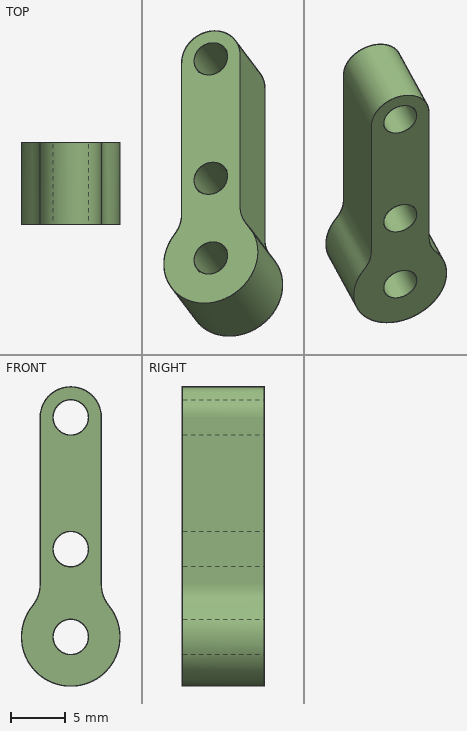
import cadquery as cq
import math

thickness = 7.5
hub_radius = 4.5
arm_half_width = 2.8
blend_radius = 3.0
hole_diameter = 3.2
middle_hole_z = 8.0
top_hole_z = 20.0
hole_heights = (0.0, middle_hole_z, top_hole_z)

blend_center_x = arm_half_width + blend_radius
center_distance = hub_radius + blend_radius
blend_center_z = math.sqrt(center_distance**2 - blend_center_x**2)
hub_tangent_x = blend_center_x * hub_radius / center_distance
hub_tangent_z = blend_center_z * hub_radius / center_distance

blend_mid_angle = math.pi + math.atan2(blend_center_z, blend_center_x) / 2
blend_mid_x = blend_center_x + blend_radius * math.cos(blend_mid_angle)
blend_mid_z = blend_center_z + blend_radius * math.sin(blend_mid_angle)


def make_body():
    """Lever outline in the XZ plane, extruded evenly to both sides of it."""
    return (
        cq.Workplane("XZ")
        .moveTo(arm_half_width, blend_center_z)
        .lineTo(arm_half_width, top_hole_z)
        .threePointArc((0, top_hole_z + arm_half_width), (-arm_half_width, top_hole_z))
        .lineTo(-arm_half_width, blend_center_z)
        .threePointArc((-blend_mid_x, blend_mid_z), (-hub_tangent_x, hub_tangent_z))
        .threePointArc((0, -hub_radius), (hub_tangent_x, hub_tangent_z))
        .threePointArc((blend_mid_x, blend_mid_z), (arm_half_width, blend_center_z))
        .close()
        .extrude(thickness / 2, both=True)
    )


def make_holes():
    """Pins for the through holes along the arm centreline."""
    return (
        cq.Workplane("XZ")
        .pushPoints([(0, height) for height in hole_heights])
        .circle(hole_diameter / 2)
        .extrude(thickness, both=True)
    )


result = make_body().cut(make_holes())